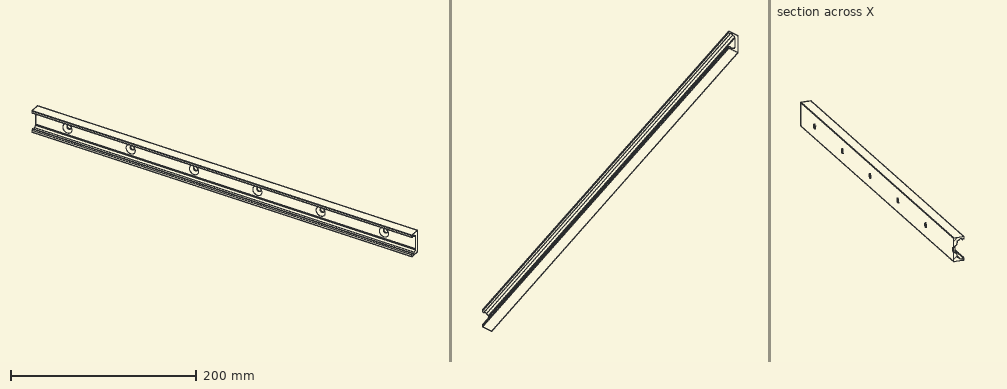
import cadquery as cq

length = 480.0
depth = 12.5
height = 28.0

web_thickness = 4.5
flange_root_thickness = 5.0

ledge_thickness = 0.25
ledge_height = 1.5

flange_thickness = 3.5
lip_thickness = 4.0
tip_thickness = 3.0
lip_width = 2.0
edge_chamfer = 0.5

raceway_start = 7.0
raceway_floor = 2.15

hole_count = 6
hole_pitch = length / hole_count
hole_diameter = 5.5
countersink_diameter = 11.5
countersink_angle = 90

back = depth / 2
front = -depth / 2
web_face = back - web_thickness
ledge_face = web_face - ledge_thickness
half_height = height / 2


def make_channel():
    """Extrude the C section, open towards -Y, along X."""
    root_face = half_height - flange_root_thickness
    flange_face = half_height - flange_thickness
    lip_face = half_height - lip_thickness
    tip_face = half_height - tip_thickness
    chamfer_level = half_height - edge_chamfer
    groove_back = back - raceway_start
    lip_crest = front + lip_width
    groove_middle = (groove_back + lip_crest) / 2
    groove_top = half_height - raceway_floor
    upper_half = (
        cq.Workplane("YZ", origin=(-length / 2, 0, 0))
        .moveTo(back, 0)
        .lineTo(back, chamfer_level)
        .lineTo(back - edge_chamfer, half_height)
        .lineTo(front + edge_chamfer, half_height)
        .lineTo(front, chamfer_level)
        .lineTo(front, tip_face)
        .lineTo(lip_crest, lip_face)
        .threePointArc((groove_middle, groove_top), (groove_back, flange_face))
        .lineTo(ledge_face, root_face)
        .lineTo(ledge_face, root_face - ledge_height)
        .lineTo(web_face, root_face - ledge_height)
        .lineTo(web_face, 0)
        .close()
        .extrude(length)
    )
    return upper_half.union(upper_half.mirror("XY")).clean()


def cut_mounting_holes(rail):
    """Cut a row of through holes countersunk from the inner face of the web."""
    return (
        rail.copyWorkplane(cq.Workplane("XZ", origin=(0, web_face, 0)))
        .rarray(hole_pitch, 5, hole_count, 1)
        .cskHole(hole_diameter, countersink_diameter, countersink_angle, depth=web_thickness)
    )


result = cut_mounting_holes(make_channel())